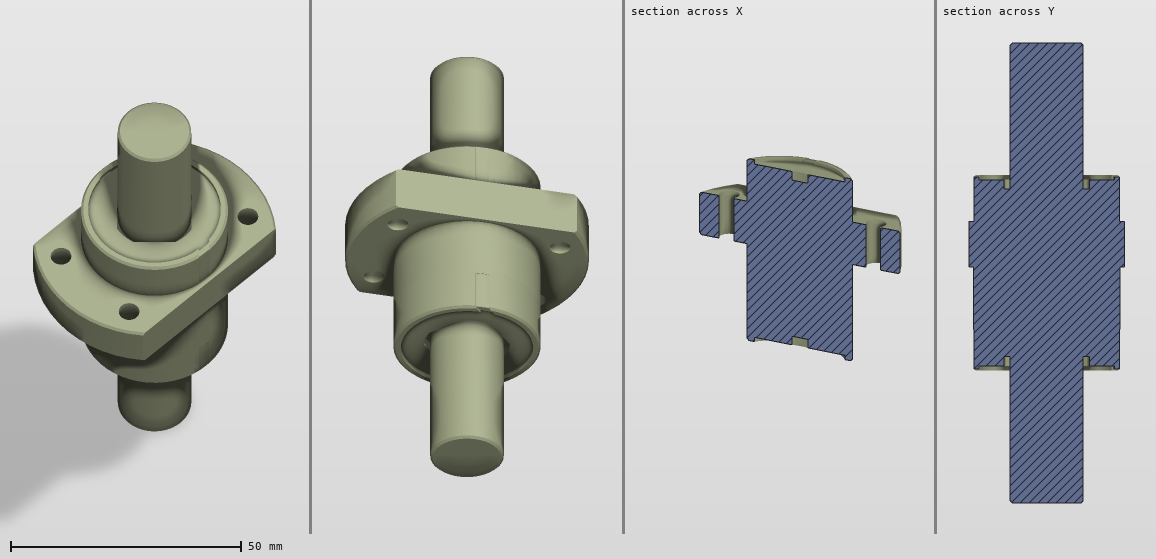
import cadquery as cq
import math

SHAFT_DIAMETER = 16.0
SHAFT_LENGTH = 100.0
SHAFT_CHAMFER = 0.5

NUT_DIAMETER = 32.0
NUT_LENGTH = 42.5
CAP_LENGTH = 10.0
CAP_CHAMFER = 0.5
NUT_HALF = NUT_LENGTH / 2
CAP_INNER_Z = NUT_HALF - CAP_LENGTH

FLANGE_DIAMETER = 53.0
FLANGE_WIDTH = 34.0
FLANGE_THICKNESS = 10.0
FLANGE_CHAMFER = 0.5
BOLT_CIRCLE_DIAMETER = 42.0
BOLT_HOLE_DIAMETER = 4.5
BOLT_ANGLES = (60, 120, 240, 300)

SEAL_DIAMETER = 28.8
SEAL_RECESS = 1.0
SEAL_THICKNESS = 3.0
SEAL_BOTTOM = NUT_HALF - SEAL_THICKNESS
CLEARANCE_DIAMETER = 18.6
CLEARANCE_ACROSS_FLATS = 16.2

SLOT_WIDTH = 2.2
SLOT_SKEW = 45.0
SLOT_CENTRE_Y = 0.75
SLOT_BAR_LENGTH = 8.0
LOWER_SLOT_OFFSET = 1.0
TAB_OUTER_DIAMETER = 31.8
TAB_INNER_DIAMETER = 29.3
TAB_DROP = 0.3


def cylinder(diameter, bottom, height):
    return cq.Workplane("XY").workplane(offset=bottom).circle(diameter / 2).extrude(height)


def make_shaft():
    shaft = cylinder(SHAFT_DIAMETER, -SHAFT_LENGTH / 2, SHAFT_LENGTH)
    return shaft.faces("<Z or >Z").chamfer(SHAFT_CHAMFER)


def make_flange():
    bottom = CAP_INNER_Z - FLANGE_THICKNESS
    disc = cylinder(FLANGE_DIAMETER, bottom, FLANGE_THICKNESS).faces("<Z or >Z").chamfer(FLANGE_CHAMFER)
    flats = cq.Workplane("XY").workplane(offset=bottom).rect(FLANGE_WIDTH, FLANGE_DIAMETER)
    flange = disc.intersect(flats.extrude(FLANGE_THICKNESS))
    radius = BOLT_CIRCLE_DIAMETER / 2
    for angle in BOLT_ANGLES:
        x = radius * math.cos(math.radians(angle))
        y = radius * math.sin(math.radians(angle))
        flange = flange.cut(cylinder(BOLT_HOLE_DIAMETER, bottom, FLANGE_THICKNESS).translate((x, y, 0)))
    return flange


def make_slot_bar(bottom, top):
    """Bar across the cap wall on the -X side, skewed in plan."""
    return (
        cq.Workplane("XY")
        .workplane(offset=bottom)
        .rect(SLOT_BAR_LENGTH, SLOT_WIDTH)
        .extrude(top - bottom)
        .rotate((0, 0, 0), (0, 0, 1), -SLOT_SKEW)
        .translate((-NUT_DIAMETER / 2, SLOT_CENTRE_Y, 0))
    )


def make_slot_cutters(slot_bottom):
    """Empty parts of one slot: around, above and inside the seal tab."""
    outside_tab = make_slot_bar(slot_bottom, NUT_HALF).cut(
        cylinder(TAB_OUTER_DIAMETER, slot_bottom, NUT_HALF - slot_bottom)
    )
    above_tab = make_slot_bar(NUT_HALF - TAB_DROP, NUT_HALF)
    recess_bottom = NUT_HALF - SEAL_RECESS
    inside_tab = make_slot_bar(recess_bottom, NUT_HALF).intersect(
        cylinder(TAB_INNER_DIAMETER, recess_bottom, SEAL_RECESS)
    )
    return outside_tab, above_tab, inside_tab


def make_clearance():
    """Cutter with a square outline turned 45 degrees and rounded by a circle on the shaft axis."""
    square = (
        cq.Workplane("XY")
        .workplane(offset=SEAL_BOTTOM)
        .rect(CLEARANCE_ACROSS_FLATS, CLEARANCE_ACROSS_FLATS)
        .extrude(SEAL_THICKNESS)
        .rotate((0, 0, 0), (0, 0, 1), 45)
    )
    return square.intersect(cylinder(CLEARANCE_DIAMETER, SEAL_BOTTOM, SEAL_THICKNESS))


def make_cap(slot_offset):
    """Upper cap; its slots start slot_offset above the inner end of the cap."""
    cap = cylinder(NUT_DIAMETER, CAP_INNER_Z, CAP_LENGTH).faces(">Z").chamfer(CAP_CHAMFER)
    cap = cap.cut(cylinder(SEAL_DIAMETER, NUT_HALF - SEAL_RECESS, SEAL_RECESS))
    cap = cap.cut(make_clearance())
    for cutter in make_slot_cutters(CAP_INNER_Z + slot_offset):
        for angle in (0, 180):
            cap = cap.cut(cutter.rotate((0, 0, 0), (0, 0, 1), angle))
    return cap


upper_cap = make_cap(0)
lower_cap = make_cap(LOWER_SLOT_OFFSET).mirror("XY")
barrel = cylinder(NUT_DIAMETER, -CAP_INNER_Z, 2 * CAP_INNER_Z)
result = barrel.union(make_flange()).union(upper_cap).union(lower_cap).union(make_shaft())